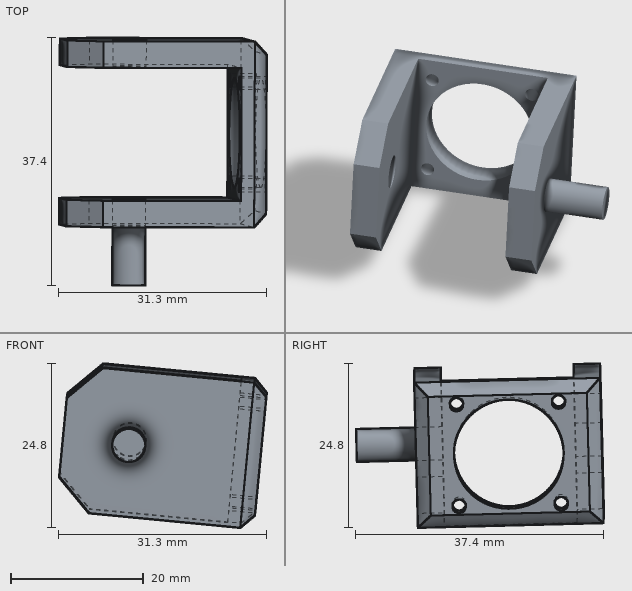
import cadquery as cq

length = 29.93
width = 28.02
height = 22.0
wall = 4.0
tip_chamfer = 5.0
back_chamfer = 2.0

pin_diameter = 5.0
pin_protrusion = 9.0
pivot_setback = 10.0

bore_diameter = 16.5
screw_hole_diameter = 2.0
screw_spacing = 15.4

roll = 1.47
pitch = 5.5
yaw = -0.1

pivot_x = pivot_setback - length / 2


def oriented(body):
    """Turn a body about the origin into the assembly's tilted attitude."""
    origin = (0, 0, 0)
    return (
        body.rotate(origin, (1, 0, 0), roll)
        .rotate(origin, (0, 1, 0), pitch)
        .rotate(origin, (0, 0, 1), yaw)
    )


def pivot_cylinder(y_start, reach):
    """Cylinder on the pivot axis, running from y_start towards -Y."""
    return (
        cq.Workplane("XZ", origin=(pivot_x, y_start, 0))
        .circle(pin_diameter / 2)
        .extrude(reach)
    )


def make_bracket():
    block = (
        cq.Workplane("XY")
        .box(length, width, height)
        .edges("<X and |Y")
        .chamfer(tip_chamfer)
        .faces(">X")
        .chamfer(back_chamfer)
    )

    gap = cq.Workplane("XY").box(length, width - 2 * wall, height).translate((-wall, 0, 0))

    openings = (
        cq.Workplane("YZ")
        .circle(bore_diameter / 2)
        .rect(screw_spacing, screw_spacing, forConstruction=True)
        .vertices()
        .circle(screw_hole_diameter / 2)
        .extrude(length)
    )

    pivot_hole = pivot_cylinder(width / 2, width)

    return block.cut(gap).cut(openings).cut(pivot_hole)


def make_pin():
    return pivot_cylinder(wall - width / 2, wall + pin_protrusion)


bracket = oriented(make_bracket())
pin = oriented(make_pin())

result = cq.Compound.makeCompound([bracket.val(), pin.val()])